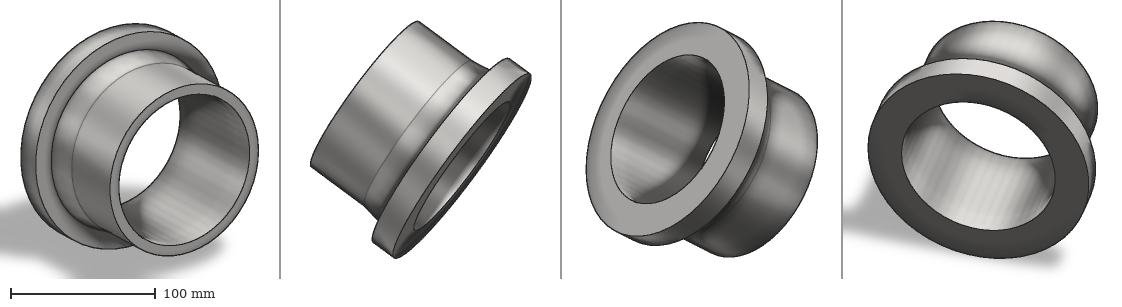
import cadquery as cq

total_length = 84.0
flange_diameter = 158.0
flange_thickness = 18.0
hub_diameter = 132.0
hub_length = 19.8
pipe_diameter = 125.0
bore_diameter = 110.0

flange_radius = flange_diameter / 2
hub_radius = hub_diameter / 2
pipe_radius = pipe_diameter / 2
bore_radius = bore_diameter / 2
hub_end = flange_thickness + hub_length

half_section = (
    cq.Workplane("XY")
    .moveTo(0, bore_radius)
    .lineTo(0, flange_radius)
    .lineTo(flange_thickness, flange_radius)
    .lineTo(flange_thickness, hub_radius)
    .lineTo(hub_end, pipe_radius)
    .lineTo(total_length, pipe_radius)
    .lineTo(total_length, bore_radius)
    .close()
)

result = half_section.revolve(360, (0, 0, 0), (1, 0, 0))